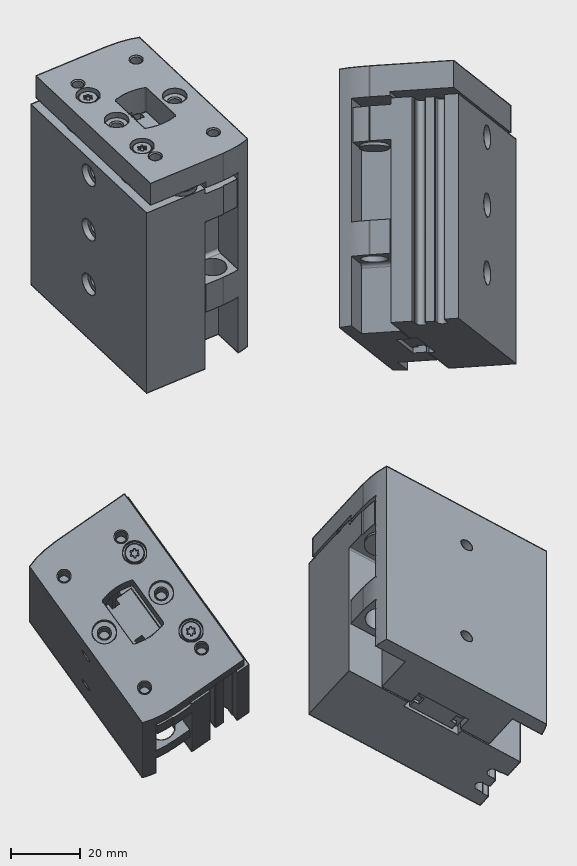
import cadquery as cq
import math

height = 76.0
body_width = 60.0
total_depth = 36.0
body_height = 66.05
slide_width = 59.35
side_flat_end = 26.4
side_curve_start = 26.7
side_curve_inset = 1.6

body_depth = 20.1
recess_front = 4.2
recess_back = 13.75
recess_depth = 1.8
sensor_mouth_width = 3.4
sensor_mouth_depth = 0.3
sensor_groove_width = 3.0
sensor_groove_straight = 2.05

rod_recess_diameter = 12.0
rod_recess_depth = 2.0
rod_recess_chamfer = 0.4
rod_recess_floor = body_height - rod_recess_depth

rail_width = 14.9
rail_front = 14.8
rail_back = 24.6
rail_bottom = 1.4
rail_top = 67.6
rail_groove_front = 20.3
rail_groove_back = 22.8
rail_groove_depth = 1.8
carriage_recess_floor = 18.2

arm_bottom = 53.9
arm_top = 64.15
arm_back = 31.6
arm_inner_x = 19.3
arm_root_fillet = 0.45
arm_side_step = 0.3

stop_x = 24.1
stop_y = 26.7
bumper_diameter = 8.5
bumper_length = 0.9

plug_x = 25.0
plug_y = 15.0
plug_diameter = 9.5
plug_stub_diameter = 5.0
plug_stub_height = 0.3

dowel_hole_diameter = 4.0
dowel_seat_diameter = 7.0
dowel_seat_depth = 2.0
hole_pitch = 20.0

slide_side_step = 0.1
plate_front = 1.5
plate_bottom = 68.0
slide_front = 20.5
slide_top_underside = 66.9
back_plate_front = 32.1
rib_half_width = 18.8
cross_block_bottom = 20.45
cross_block_top = 30.55
pocket_fillet = 1.2
stop_hole_diameter = 8.0

carriage_front = 18.8
carriage_bottom = 2.65
carriage_top = 44.6

opening_front = 14.1
opening_back = 24.85
opening_mid_half_width = 8.7
carriage_half_width = opening_mid_half_width
carriage_side_clearance = 0.75
opening_end_half_width = 7.75
opening_corner_fillet = 0.45

rod_diameter = 8.1
rod_x = 14.0
rod_y = 9.05
screw_recess_diameter = 6.9
screw_recess_depth = 2.0
screw_head_diameter = 5.6
screw_head_height = 1.2
screw_head_chamfer = 0.15
socket_depth = 0.75
socket_span = 2.7
socket_core_diameter = 1.75
socket_lobe_width = 0.6
socket_slots = 3

thread_diameter = 3.3
thread_chamfer_diameter = 4.0
thread_depth = 7.0
thread_front_y = 9.6


def box(x0, x1, y0, y1, z0, z1):
    """Box between two opposite corners."""
    return cq.Workplane("XY").box(x1 - x0, y1 - y0, z1 - z0, centered=False).translate((x0, y0, z0))


def upright(diameter, x, y, z0, z1):
    """Cylinder along Z."""
    return cq.Workplane("XY", origin=(x, y, z0)).circle(diameter / 2).extrude(z1 - z0)


def cone(small_diameter, x, y, z_top, chamfer):
    """Cone along Z that cuts a 45 degree chamfer at the mouth of a bore."""
    small = small_diameter / 2
    base = cq.Vector(x, y, z_top - chamfer)
    return cq.Workplane(cq.Solid.makeCone(small, small + chamfer, chamfer, base))


def front_bore(diameter, z, depth):
    """Cylinder along +Y that starts on the front face at X = 0."""
    return cq.Workplane("XZ", origin=(0, 0, z)).circle(diameter / 2).extrude(-depth)


def side_arc_inset(y):
    """Inward run of the side arcs between their start and a given Y."""
    run = total_depth - side_curve_start
    radius = (run**2 + side_curve_inset**2) / (2 * side_curve_inset)
    return radius - math.sqrt(radius**2 - (y - side_curve_start) ** 2)


def curved_block(width, side_step, y0, y1, z0, z1):
    """Block with flat sides in front and sides that curve inward behind them."""
    half = width / 2
    start = half - side_step
    mid_y = (side_curve_start + y1) / 2
    mid = start - side_arc_inset(mid_y)
    back = start - side_arc_inset(y1)
    return (
        cq.Workplane("XY", origin=(0, 0, z0))
        .moveTo(-half, y0)
        .lineTo(half, y0)
        .lineTo(half, side_flat_end)
        .lineTo(start, side_curve_start)
        .threePointArc((mid, mid_y), (back, y1))
        .lineTo(-back, y1)
        .threePointArc((-mid, mid_y), (-start, side_curve_start))
        .lineTo(-half, side_flat_end)
        .close()
        .extrude(z1 - z0)
    )


front_hole_heights = [hole_pitch * row for row in (1, 2, 3)]
through_hole_heights = [front_hole_heights[0], front_hole_heights[2]]


def cut_through_holes(solid):
    """Top and bottom front holes, which run through the whole part."""
    for z in through_hole_heights:
        solid = solid.cut(front_bore(dowel_hole_diameter, z, total_depth))
    return solid


def sensor_recess():
    """Side recess with two stepped, round-bottomed sensor grooves in its floor."""
    side_x = -body_width / 2
    floor_x = side_x + recess_depth
    step_x = floor_x + sensor_mouth_depth
    round_x = step_x + sensor_groove_straight
    half_mouth = sensor_mouth_width / 2
    half_groove = sensor_groove_width / 2
    cutter = box(side_x, floor_x, recess_front, recess_back, 0, body_height)
    for y in (recess_front + half_mouth, recess_back - half_mouth):
        cutter = cutter.union(box(side_x, step_x, y - half_mouth, y + half_mouth, 0, body_height))
        cutter = cutter.union(box(side_x, round_x, y - half_groove, y + half_groove, 0, body_height))
        cutter = cutter.union(upright(sensor_groove_width, round_x, y, 0, body_height))
    return cutter


def guide_rail():
    """Rail along Z with a ball groove in each side."""
    half = rail_width / 2
    rail = box(-half, half, rail_front, rail_back, rail_bottom, rail_top)
    for x0 in (-half, half - rail_groove_depth):
        x1 = x0 + rail_groove_depth
        rail = rail.cut(box(x0, x1, rail_groove_front, rail_groove_back, rail_bottom, rail_top))
    return rail


def stop_arms():
    """Arms at both sides of the body, filleted at the root, each with a bumper underneath."""
    arms = curved_block(body_width, arm_side_step, body_depth, arm_back, arm_bottom, arm_top)
    arms = arms.cut(box(-arm_inner_x, arm_inner_x, body_depth, arm_back, arm_bottom, arm_top))
    for x in (-stop_x, stop_x):
        arms = arms.union(upright(bumper_diameter, x, stop_y, arm_bottom - bumper_length, arm_bottom))
    return arms


def make_body():
    half = body_width / 2
    body = box(-half, half, 0, body_depth, 0, body_height).union(stop_arms())
    margin = arm_root_fillet / 2
    root = cq.selectors.BoxSelector(
        (-half, body_depth - margin, arm_bottom - margin),
        (half, body_depth + margin, arm_top + margin),
    )
    body = body.edges("|X").edges(root).fillet(arm_root_fillet)

    recess_half = carriage_half_width + carriage_side_clearance
    body = body.cut(box(-recess_half, recess_half, carriage_recess_floor, body_depth, 0, body_height))
    body = body.union(guide_rail())
    body = body.cut(sensor_recess())

    for x in (-rod_x, rod_x):
        recess = upright(rod_recess_diameter, x, rod_y, rod_recess_floor, body_height)
        mouth = cone(rod_recess_diameter, x, rod_y, body_height, rod_recess_chamfer)
        body = body.cut(recess).cut(mouth)

    stub_base = rail_top
    body = body.union(upright(plug_diameter, plug_x, plug_y, body_height, stub_base))
    body = body.union(
        upright(plug_stub_diameter, plug_x, plug_y, stub_base, stub_base + plug_stub_height)
    )

    for z in front_hole_heights:
        body = body.cut(front_bore(dowel_seat_diameter, z, dowel_seat_depth))
        body = body.cut(front_bore(dowel_hole_diameter, z, rail_front))
    return cut_through_holes(body)


def side_pocket(side, z0, z1, rounded):
    """Pocket beside the rib; side is -1 or 1, rounded picks the filleted inner edges."""
    inner, outer = sorted((side * rib_half_width, side * body_width / 2))
    pocket = box(inner, outer, slide_front, back_plate_front, z0, z1)
    rib_edge = "<X" if side > 0 else ">X"
    return pocket.faces(rib_edge).edges(rounded).fillet(pocket_fillet)


def opening():
    """Window through the top plate with bowed sides."""
    mid_y = (opening_front + opening_back) / 2
    end = opening_end_half_width
    mid = opening_mid_half_width
    return (
        cq.Workplane("XY", origin=(0, 0, slide_top_underside))
        .moveTo(-end, opening_front)
        .lineTo(end, opening_front)
        .threePointArc((mid, mid_y), (end, opening_back))
        .lineTo(-end, opening_back)
        .threePointArc((-mid, mid_y), (-end, opening_front))
        .close()
        .extrude(height - slide_top_underside)
        .edges("|Z")
        .fillet(opening_corner_fillet)
    )


def screw_socket(x, y, z_top):
    """Six-lobed socket: a round core crossed by three slots."""
    z0 = z_top - socket_depth
    socket = upright(socket_core_diameter, x, y, z0, z_top)
    for index in range(socket_slots):
        angle = 90 + index * 180 / socket_slots
        slot = (
            cq.Workplane("XY", origin=(x, y, z0))
            .slot2D(socket_span, socket_lobe_width, angle)
            .extrude(socket_depth)
        )
        socket = socket.union(slot)
    return socket


def add_rod_and_screw(slide, x):
    """Rod that stands in its recess in the body, and the head of its screw sunk into the plate."""
    slide = slide.union(upright(rod_diameter, x, rod_y, rod_recess_floor, plate_bottom))
    seat_z = height - screw_recess_depth
    head_top = seat_z + screw_head_height
    slide = slide.cut(upright(screw_recess_diameter, x, rod_y, seat_z, height))
    head = upright(screw_head_diameter, x, rod_y, seat_z, head_top)
    head = head.faces(">Z").edges().chamfer(screw_head_chamfer)
    return slide.union(head).cut(screw_socket(x, rod_y, head_top))


def threaded_hole(x, y, z_mouth):
    """Blind hole with a chamfered mouth; every hole ends at the same level."""
    chamfer = (thread_chamfer_diameter - thread_diameter) / 2
    hole = upright(thread_diameter, x, y, height - thread_depth, z_mouth)
    return hole.union(cone(thread_diameter, x, y, z_mouth, chamfer))


def make_slide():
    slide = curved_block(slide_width, slide_side_step, plate_front, total_depth, plate_bottom, height)
    rear = curved_block(slide_width, slide_side_step, slide_front, total_depth, 0, plate_bottom)
    slide = slide.union(rear)

    for side, upper_pocket_top in ((-1, slide_top_underside), (1, body_height)):
        slide = slide.cut(side_pocket(side, 0, cross_block_bottom, ">Z"))
        slide = slide.cut(side_pocket(side, cross_block_top, upper_pocket_top, "|Y"))
        slide = slide.cut(
            upright(stop_hole_diameter, side * stop_x, stop_y, cross_block_bottom, cross_block_top)
        )

    half = carriage_half_width
    slide = slide.cut(box(-half, half, slide_front, rail_back, 0, slide_top_underside))
    carriage = box(-half, half, carriage_front, rail_back, carriage_bottom, carriage_top)
    slide = slide.union(carriage.cut(guide_rail()))

    slide = slide.cut(opening())
    for x in (-rod_x, rod_x):
        slide = add_rod_and_screw(slide, x)

    for y in (thread_front_y, thread_front_y + hole_pitch):
        for x in (-hole_pitch, hole_pitch):
            slide = slide.cut(threaded_hole(x, y, height))
        seat_z = height - dowel_seat_depth
        slide = slide.cut(upright(dowel_seat_diameter, 0, y, seat_z, height))
        slide = slide.cut(threaded_hole(0, y, seat_z))
    return cut_through_holes(slide)


body = make_body()
slide = make_slide()
result = cq.Compound.makeCompound([body.val(), slide.val()])